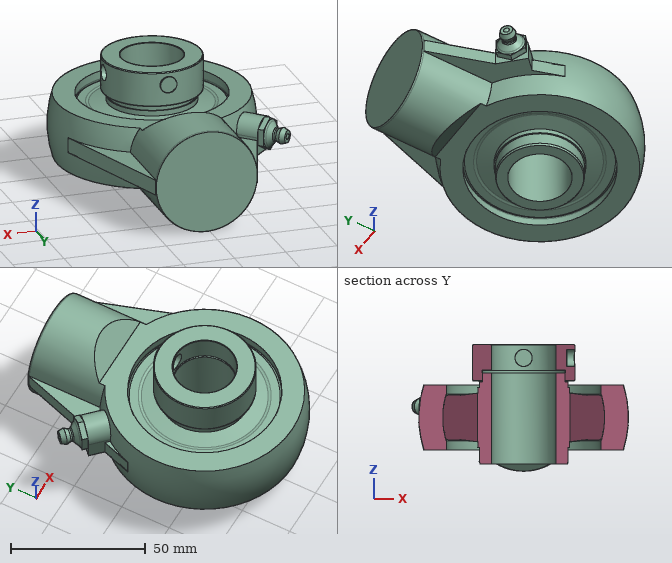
import cadquery as cq
import math


ring_radius = 38.92
ring_width = 24.13
bearing_mouth_diameter = 57.14
seat_sphere_radius = 29.9

shank_radius = 19.94
shank_end_y = 63.85
shank_shoulder_y = 33.4
shank_end_taper_length = 0.6
shank_end_taper_depth = 0.2
shank_slope_start_y = 43.75
web_thickness = 5.9

fitting_angle = 45
fitting_z = 4.0
boss_radius = 6.25
boss_end = 46.65
boss_start = 30.0
hex_across_flats = 11.11
hex_end = 48.95
fitting_shoulder_radius = 5.5
fitting_cone_radius = 4.85
fitting_cone_start = 49.5
fitting_cone_end_radius = 2.8
fitting_cone_end = 51.2
fitting_neck_radius = 2.5
fitting_neck_start = 51.7
fitting_neck_end = 52.4
fitting_bulb_diameter = 6.35
fitting_bulb_position = 54.0
fitting_tip_radius = 2.4
fitting_tip_end = 56.05
fitting_ball_radius = 1.1
fitting_ball_height = 0.5

shaft_diameter = 23.81
outer_ring_width = 17.0
outer_ring_face_radius = 27.97
outer_ring_chamfer_height = 0.6
seal_rim_radius = 24.6
seal_diameter = 46.99
seal_rim_z = 8.3
seal_lip_z = 9.1
inner_ring_diameter = 33.02
inner_ring_bottom_z = -17.25
inner_ring_land_diameter = 34.04
inner_ring_land_z = 11.15
inner_ring_shoulder_z = 13.25
inner_ring_neck_diameter = 30.68
inner_ring_top_z = 16.5
inner_ring_edge_height = 0.9
inner_ring_edge_depth = 0.3

collar_diameter = 38.1
collar_bottom_z = 13.5
collar_top_z = 27.02
collar_counterbore_z = 17.4
collar_edge = 0.35
collar_bore_edge = 0.2
screw_z = 22.05
screw_diameter = 6.35
screw_inner_y = 14.0
screw_outer_y = 19.6
spanner_hole_diameter = 6.0
spanner_hole_depth = 3.0


def revolved(profile):
    """Revolve a closed (radius, height) profile about Z."""
    return cq.Workplane("XZ").polyline(profile).close().revolve(360, (0, 0, 0), (0, 1, 0))


def disc(diameter, bottom_z, top_z):
    return cq.Workplane("XY").workplane(offset=bottom_z).circle(diameter / 2).extrude(top_z - bottom_z)


def on_fitting_axis(shape):
    """Move a shape built along +Y from the bearing axis onto the grease fitting axis."""
    return shape.translate((0, 0, fitting_z)).rotate((0, 0, 0), (0, 0, 1), fitting_angle)


def make_shank():
    half_width = ring_width / 2
    neck_y = shank_slope_start_y - (shank_radius - half_width)
    taper_y = shank_end_y - shank_end_taper_length
    end_radius = shank_radius - shank_end_taper_depth
    round_bar = (
        cq.Workplane("XY")
        .moveTo(0, 0)
        .lineTo(shank_radius, 0)
        .lineTo(shank_radius, taper_y)
        .lineTo(end_radius, shank_end_y)
        .lineTo(0, shank_end_y)
        .close()
        .revolve(360, (0, 0, 0), (0, 1, 0))
    )
    side_outline = (
        cq.Workplane("YZ")
        .polyline([
            (shank_end_y, shank_radius),
            (shank_slope_start_y, shank_radius),
            (neck_y, half_width),
            (0, half_width),
            (0, -half_width),
            (neck_y, -half_width),
            (shank_slope_start_y, -shank_radius),
            (shank_end_y, -shank_radius),
        ])
        .close()
        .extrude(shank_radius, both=True)
    )
    shank = round_bar.intersect(side_outline)
    strip_half_width = math.sqrt(shank_radius**2 - half_width**2)
    flank_width = shank_radius - strip_half_width
    for side in (-1, 1):
        flank = cq.Workplane("XY").box(flank_width, shank_shoulder_y, 2 * shank_radius).translate(
            (side * (strip_half_width + flank_width / 2), shank_shoulder_y / 2, 0)
        )
        shank = shank.cut(flank)
    return shank


def make_webs():
    """Flat plate whose sloping sides run from the shank's end tangent to the ring."""
    top_y = shank_end_y - shank_end_taper_length
    distance = math.hypot(shank_radius, top_y)
    tangent_angle = math.atan2(top_y, shank_radius) - math.acos(ring_radius / distance)
    tangent_x = ring_radius * math.cos(tangent_angle)
    tangent_y = ring_radius * math.sin(tangent_angle)
    return (
        cq.Workplane("XY")
        .workplane(offset=-web_thickness / 2)
        .polyline([
            (-shank_radius, top_y),
            (shank_radius, top_y),
            (tangent_x, tangent_y),
            (-tangent_x, tangent_y),
        ])
        .close()
        .extrude(web_thickness)
    )


def make_grease_boss():
    """U-shaped boss, round on top with straight sides down to the web's lower face."""
    drop = fitting_z + web_thickness / 2
    length = boss_end - boss_start
    boss = (
        cq.Workplane("XZ", origin=(0, boss_end, 0))
        .moveTo(-boss_radius, -drop)
        .lineTo(-boss_radius, 0)
        .threePointArc((0, boss_radius), (boss_radius, 0))
        .lineTo(boss_radius, -drop)
        .close()
        .extrude(length)
    )
    return on_fitting_axis(boss)


def make_housing():
    ring = cq.Workplane("XY").sphere(ring_radius).intersect(
        cq.Workplane("XY").box(2 * ring_radius, 2 * ring_radius, ring_width)
    )
    body = ring.union(make_shank()).union(make_webs()).union(make_grease_boss())
    mouth = disc(bearing_mouth_diameter, -ring_width, ring_width)
    return body.cut(mouth).cut(cq.Workplane("XY").sphere(seat_sphere_radius))


def make_grease_fitting():
    hexagon = (
        cq.Workplane("XZ", origin=(0, hex_end, 0))
        .polygon(6, hex_across_flats / math.cos(math.pi / 6))
        .extrude(hex_end - boss_end)
        .rotate((0, 0, 0), (0, 1, 0), 30)
    )
    ball_sphere_radius = (fitting_ball_radius**2 + fitting_ball_height**2) / (2 * fitting_ball_height)
    nipple = (
        cq.Workplane("XY")
        .moveTo(0, boss_end)
        .lineTo(fitting_shoulder_radius, boss_end)
        .lineTo(fitting_shoulder_radius, hex_end)
        .lineTo(fitting_cone_radius, fitting_cone_start)
        .lineTo(fitting_cone_end_radius, fitting_cone_end)
        .lineTo(fitting_neck_radius, fitting_neck_start)
        .lineTo(fitting_neck_radius, fitting_neck_end)
        .lineTo(fitting_bulb_diameter / 2, fitting_bulb_position)
        .lineTo(fitting_tip_radius, fitting_tip_end)
        .lineTo(fitting_ball_radius, fitting_tip_end)
        .radiusArc((0, fitting_tip_end + fitting_ball_height), -ball_sphere_radius)
        .close()
        .revolve(360, (0, 0, 0), (0, 1, 0))
    )
    return on_fitting_axis(hexagon.union(nipple))


def make_outer_ring():
    """Sealed outer ring with a spherical outside, reaching in to the inner ring's land."""
    half_width = outer_ring_width / 2
    chamfer_z = half_width - outer_ring_chamfer_height
    chamfer_radius = math.sqrt(seat_sphere_radius**2 - chamfer_z**2)
    land = inner_ring_land_diameter / 2
    seal = seal_diameter / 2
    return (
        cq.Workplane("XZ")
        .moveTo(land, -seal_lip_z)
        .lineTo(seal, -seal_rim_z)
        .lineTo(seal_rim_radius, -half_width)
        .lineTo(outer_ring_face_radius, -half_width)
        .lineTo(chamfer_radius, -chamfer_z)
        .threePointArc((seat_sphere_radius, 0), (chamfer_radius, chamfer_z))
        .lineTo(outer_ring_face_radius, half_width)
        .lineTo(seal_rim_radius, half_width)
        .lineTo(seal, seal_rim_z)
        .lineTo(land, seal_lip_z)
        .close()
        .revolve(360, (0, 0, 0), (0, 1, 0))
    )


def make_inner_ring():
    bore = shaft_diameter / 2
    outside = inner_ring_diameter / 2
    land = inner_ring_land_diameter / 2
    neck = inner_ring_neck_diameter / 2
    return revolved([
        (bore, inner_ring_bottom_z),
        (outside - inner_ring_edge_depth, inner_ring_bottom_z),
        (outside, inner_ring_bottom_z + inner_ring_edge_height),
        (outside, -inner_ring_land_z),
        (land, -inner_ring_land_z),
        (land, inner_ring_land_z),
        (outside, inner_ring_land_z),
        (outside, inner_ring_shoulder_z),
        (neck, inner_ring_shoulder_z),
        (neck, inner_ring_top_z),
        (bore, inner_ring_top_z),
    ])


def make_set_screw():
    return (
        cq.Workplane("XZ", origin=(0, screw_outer_y, screw_z))
        .circle(screw_diameter / 2)
        .extrude(screw_outer_y - screw_inner_y)
    )


def make_collar():
    outside = collar_diameter / 2
    bore = shaft_diameter / 2
    counterbore = inner_ring_neck_diameter / 2
    collar = revolved([
        (counterbore, collar_bottom_z),
        (outside - collar_edge, collar_bottom_z),
        (outside, collar_bottom_z + collar_edge),
        (outside, collar_top_z - collar_edge),
        (outside - collar_edge, collar_top_z),
        (bore + collar_bore_edge, collar_top_z),
        (bore, collar_top_z - collar_bore_edge),
        (bore, collar_counterbore_z),
        (counterbore, collar_counterbore_z),
    ])
    screw_hole = (
        cq.Workplane("XZ", origin=(0, 0, screw_z)).circle(screw_diameter / 2).extrude(-outside)
    )
    spanner_hole = (
        cq.Workplane("YZ", origin=(outside, 0, screw_z))
        .circle(spanner_hole_diameter / 2)
        .extrude(-spanner_hole_depth)
    )
    return collar.cut(screw_hole).cut(spanner_hole)


housing = make_housing()
grease_fitting = make_grease_fitting()
outer_ring = make_outer_ring()
inner_ring = make_inner_ring()
collar = make_collar()
set_screw = make_set_screw()

result = cq.Compound.makeCompound([
    housing.val(),
    grease_fitting.val(),
    outer_ring.val(),
    inner_ring.val(),
    collar.val(),
    set_screw.val(),
])